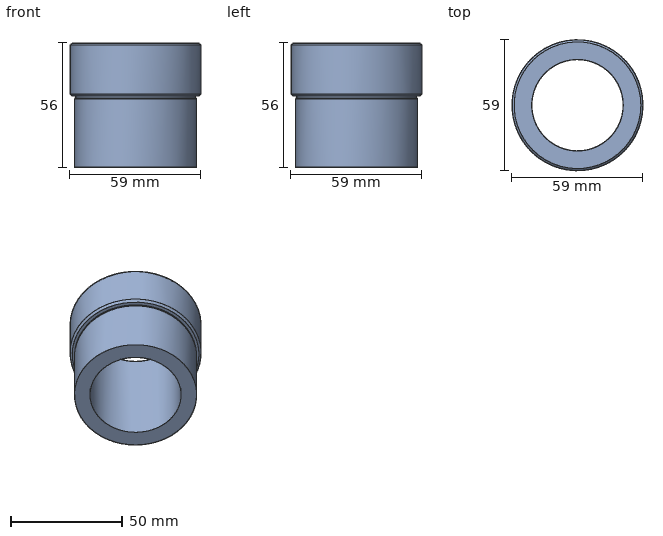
import cadquery as cq

head_diameter = 59.0
total_height = 56.0
head_height = 23.9
body_diameter = 55.0
bore_diameter = 41.0
head_chamfer = 1.0

groove_height = 1.25
groove_depth = 0.5

head_radius = head_diameter / 2
body_radius = body_diameter / 2
bore_radius = bore_diameter / 2
groove_radius = body_radius - groove_depth
shoulder_z = total_height - head_height
groove_bottom_z = shoulder_z - groove_height

profile = (
    cq.Workplane("XZ")
    .moveTo(bore_radius, 0)
    .lineTo(body_radius, 0)
    .lineTo(body_radius, groove_bottom_z)
    .lineTo(groove_radius, groove_bottom_z + groove_depth)
    .lineTo(groove_radius, shoulder_z)
    .lineTo(head_radius - head_chamfer, shoulder_z)
    .lineTo(head_radius, shoulder_z + head_chamfer)
    .lineTo(head_radius, total_height - head_chamfer)
    .lineTo(head_radius - head_chamfer, total_height)
    .lineTo(bore_radius, total_height)
    .close()
)

result = profile.revolve(360, (0, 0, 0), (0, 1, 0))